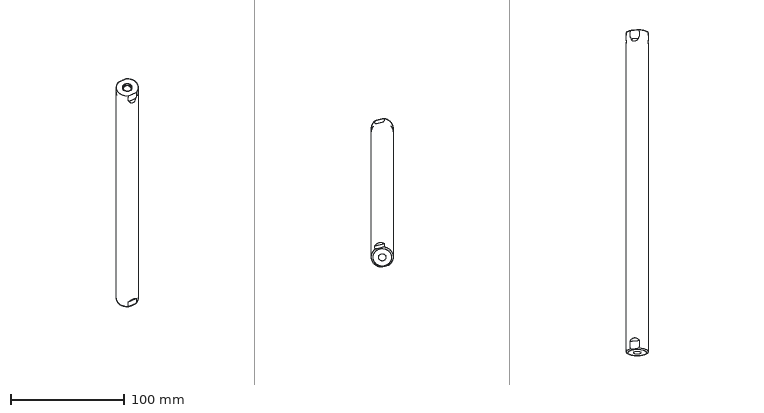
import cadquery as cq

length = 300.0
radius = 10.05
bore_radius = 3.3

taper_height = 3.0
taper_depth = 0.3
bottom_chamfer_height = 1.0
bottom_chamfer_depth = 1.5
counterbore_radius = 4.2
counterbore_depth = 1.8

groove_start = 5.7
groove_width = 4.5
groove_floor_width = 0.5
groove_depth = 0.45

flat_offset = 9.0
top_flat_length = 8.0
bottom_flat_length = 7.8
ramp_length = 2.7


def rod():
    """Turned rod with tapered ends, a bottom chamfer, a ring groove and a counterbored bore."""
    end_radius = radius - taper_depth
    groove_top = length - groove_start
    groove_bottom = groove_top - groove_width
    groove_wall = (groove_width - groove_floor_width) / 2
    groove_radius = radius - groove_depth
    counterbore_z = length - counterbore_depth
    profile = [
        (bore_radius, 0),
        (end_radius - bottom_chamfer_depth, 0),
        (end_radius, bottom_chamfer_height),
        (radius, taper_height),
        (radius, groove_bottom),
        (groove_radius, groove_bottom + groove_wall),
        (groove_radius, groove_top - groove_wall),
        (radius, groove_top),
        (radius, length - taper_height),
        (end_radius, length),
        (counterbore_radius, length),
        (counterbore_radius, counterbore_z),
        (bore_radius, counterbore_z),
    ]
    return cq.Workplane("XZ").polyline(profile).close().revolve(360, (0, 0, 0), (0, 1, 0))


def flat_cutter(side, end_z, direction, flat_length):
    """Cutter for one flat, running inward from an end and ramping out to the surface."""
    flat_end = end_z + direction * flat_length
    ramp_end = flat_end + direction * ramp_length
    outline = [
        (side * flat_offset, end_z),
        (side * flat_offset, flat_end),
        (side * radius, ramp_end),
        (side * 2 * radius, ramp_end),
        (side * 2 * radius, end_z),
    ]
    return cq.Workplane("XZ").polyline(outline).close().extrude(radius, both=True)


result = rod()
for side in (-1, 1):
    result = result.cut(flat_cutter(side, 0, 1, bottom_flat_length))
    result = result.cut(flat_cutter(side, length, -1, top_flat_length))